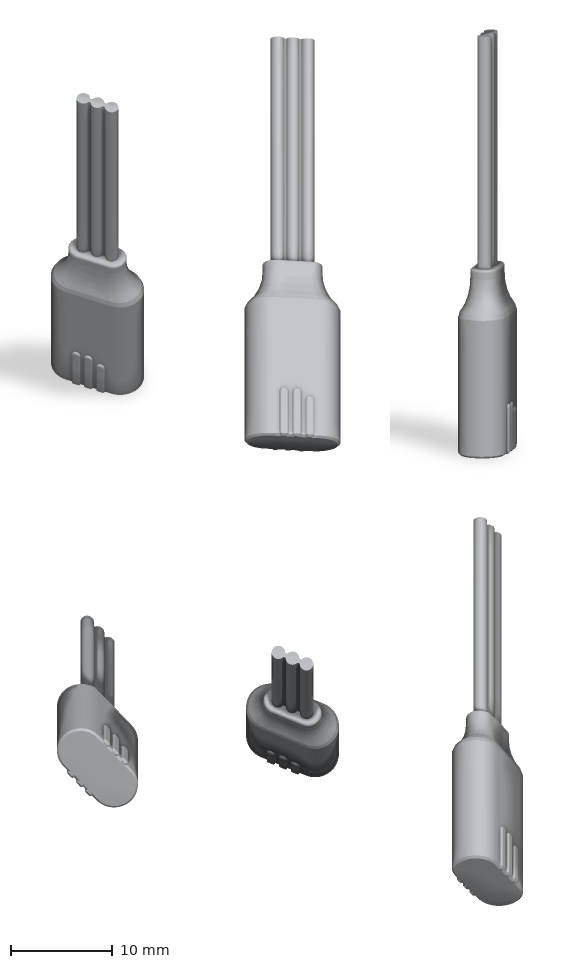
import cadquery as cq
import math

TOTAL_HEIGHT = 41.65

BODY_WIDTH = 9.5
BODY_DEPTH = 4.7
HOUSING_HEIGHT = 10.5
BOTTOM_CHAMFER = 0.2

RIB_PITCH = 1.3
RIB_WIDTH = 0.87
RIB_PROTRUSION = 0.23
RIB_FILLET = 0.2
LONG_RIB_HEIGHT = 5.0
SHORT_RIB_HEIGHT = 4.25
RIB_HEIGHTS = (LONG_RIB_HEIGHT, LONG_RIB_HEIGHT, SHORT_RIB_HEIGHT)

BAND_TOP = 13.8
SHOULDER_TOP = 14.28
SHOULDER_INSET_X = 0.25
SHOULDER_INSET_Y = 0.12
SHOULDER_WIDTH = BODY_WIDTH - 2 * SHOULDER_INSET_X
SHOULDER_DEPTH = BODY_DEPTH - 2 * SHOULDER_INSET_Y
FLARE_TOP = 17.53
FLARE_ANGLE = 50.0
FLARE_STEPS = 4
NECK_WIDTH = 5.95
NECK_DEPTH = 2.65
NECK_FILLET = 0.25
BOOT_TOP = 18.5

CORE_COUNT = 3
CORE_DIAMETER = 1.35
CORE_PITCH = 1.5
WEB_THICKNESS = 0.45


def stadium(width, depth, z):
    """A stadium outline centred on the Z axis at height z."""
    return cq.Workplane("XY").workplane(offset=z).slot2D(width, depth)


def stadium_wire(width, depth, z):
    return stadium(width, depth, z).wires().val()


def make_rib(x, height):
    """One round-topped rib on the -Y side, with a rounded outer edge and a square bottom end."""
    slot = (
        cq.Workplane("XZ", origin=(x, -BODY_DEPTH / 2, 0))
        .slot2D(2 * height, RIB_WIDTH, 90)
        .extrude(RIB_PROTRUSION)
        .faces("<Y")
        .edges()
        .fillet(RIB_FILLET)
    )
    lower_half = cq.Workplane("XY").box(
        2 * BODY_WIDTH, 2 * BODY_DEPTH, height, centered=(True, True, False)
    )
    return slot.cut(lower_half.translate((0, 0, -height)))


def make_housing():
    housing = stadium(BODY_WIDTH, BODY_DEPTH, 0).extrude(HOUSING_HEIGHT)
    first_x = -(len(RIB_HEIGHTS) - 1) / 2 * RIB_PITCH
    for i, height in enumerate(RIB_HEIGHTS):
        rib = make_rib(first_x + i * RIB_PITCH, height)
        opposite_rib = rib.rotate((0, 0, 0), (0, 0, 1), 180)
        housing = housing.union(rib).union(opposite_rib)
    return housing.faces("<Z").chamfer(BOTTOM_CHAMFER)


def flare_sections():
    """Stadium sections along a concave arc, from the shoulder up to its vertical end at the neck."""
    end_angle = math.radians(FLARE_ANGLE)
    sections = []
    for i in range(FLARE_STEPS + 1):
        angle = end_angle * (1 - i / FLARE_STEPS)
        spread = (1 - math.cos(angle)) / (1 - math.cos(end_angle))
        drop = math.sin(angle) / math.sin(end_angle)
        width = NECK_WIDTH + spread * (SHOULDER_WIDTH - NECK_WIDTH)
        depth = NECK_DEPTH + spread * (SHOULDER_DEPTH - NECK_DEPTH)
        z = FLARE_TOP - drop * (FLARE_TOP - SHOULDER_TOP)
        sections.append(stadium_wire(width, depth, z))
    return sections


def make_boot():
    band = stadium(BODY_WIDTH, BODY_DEPTH, HOUSING_HEIGHT).extrude(BAND_TOP - HOUSING_HEIGHT)
    shoulder = cq.Solid.makeLoft(
        [
            stadium_wire(BODY_WIDTH, BODY_DEPTH, BAND_TOP),
            stadium_wire(SHOULDER_WIDTH, SHOULDER_DEPTH, SHOULDER_TOP),
        ]
    )
    flare = cq.Solid.makeLoft(flare_sections())
    neck = (
        stadium(NECK_WIDTH, NECK_DEPTH, FLARE_TOP)
        .extrude(BOOT_TOP - FLARE_TOP)
        .faces(">Z")
        .edges()
        .fillet(NECK_FILLET)
    )
    return band.union(cq.Workplane(shoulder)).union(cq.Workplane(flare)).union(neck)


def make_cable():
    length = TOTAL_HEIGHT - BOOT_TOP
    core_span = (CORE_COUNT - 1) * CORE_PITCH
    base = cq.Workplane("XY").workplane(offset=BOOT_TOP)
    cable = base.rect(core_span, WEB_THICKNESS).extrude(length)
    for i in range(CORE_COUNT):
        x = i * CORE_PITCH - core_span / 2
        cable = cable.union(base.center(x, 0).circle(CORE_DIAMETER / 2).extrude(length))
    return cable


housing = make_housing()
boot = make_boot()
cable = make_cable()

result = cq.Compound.makeCompound([housing.val(), boot.val(), cable.val()])